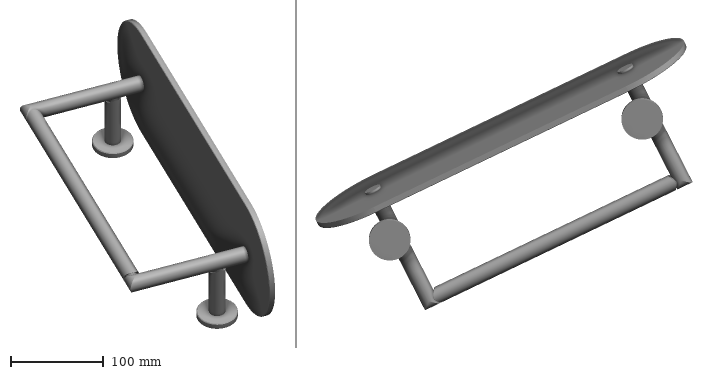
import cadquery as cq

length = 444.5
depth = 146.5
height = 146.5

plate_height = 140.0
plate_thickness = 6.5
plate_stud = 2.5
plate_radius = plate_height / 2
plate_back = depth - plate_stud

tube_diameter = 18.2
tube_radius = tube_diameter / 2
joint_gap = 2.2
neck_radius = 7.0
saddle_radius = tube_radius + joint_gap

foot_diameter = 45.0
foot_thickness = 6.5

plate_bevel = 0.65
foot_bevel = 1.0

arm_x = length / 2 - plate_radius
arm_z = height - plate_radius
rail_y = tube_radius
post_y = 104.5


def rod(radius, start, end):
    """Solid cylinder running from one point to another."""
    axis = cq.Vector(*end) - cq.Vector(*start)
    return cq.Workplane(cq.Solid.makeCylinder(radius, axis.Length, cq.Vector(*start), axis))


def saddle_cutter(x):
    """Cylinder around an arm axis that leaves the joint gap where other tubes meet the arm."""
    return rod(saddle_radius, (x, 0, arm_z), (x, depth, arm_z))


def make_plate():
    """Upright plate with semicircular ends and a bevelled front rim."""
    return (
        cq.Workplane("XZ", origin=(0, plate_back, arm_z))
        .slot2D(length, plate_height)
        .extrude(plate_thickness)
        .faces("<Y")
        .chamfer(plate_bevel)
    )


def make_arm(x):
    """Arm through the plate, its front end rounded to follow the rail's cylinder."""
    straight = rod(tube_radius, (x, rail_y, arm_z), (x, depth, arm_z))
    full = rod(tube_radius, (x, 0, arm_z), (x, depth, arm_z))
    nose = rod(tube_radius, (x - tube_radius, rail_y, arm_z), (x + tube_radius, rail_y, arm_z))
    return straight.union(full.intersect(nose))


def make_rail():
    """Front rail, saddle-cut clear of both arms and joined to them by a thinner neck."""
    left = (-arm_x, rail_y, arm_z)
    right = (arm_x, rail_y, arm_z)
    rail = rod(tube_radius, left, right)
    for x in (-arm_x, arm_x):
        rail = rail.cut(saddle_cutter(x))
    return rail.union(rod(neck_radius, left, right))


def make_post(x):
    """Post on a bevelled round foot, saddle-cut clear of the arm and joined to it by a thinner neck."""
    bottom = (x, post_y, 0)
    top = (x, post_y, arm_z)
    post = rod(tube_radius, bottom, top).cut(saddle_cutter(x))
    foot = rod(foot_diameter / 2, bottom, (x, post_y, foot_thickness))
    foot = foot.faces(">Z").chamfer(foot_bevel)
    return post.union(rod(neck_radius, bottom, top)).union(foot)


result = make_plate().union(make_rail())
for side_x in (-arm_x, arm_x):
    result = result.union(make_arm(side_x)).union(make_post(side_x))